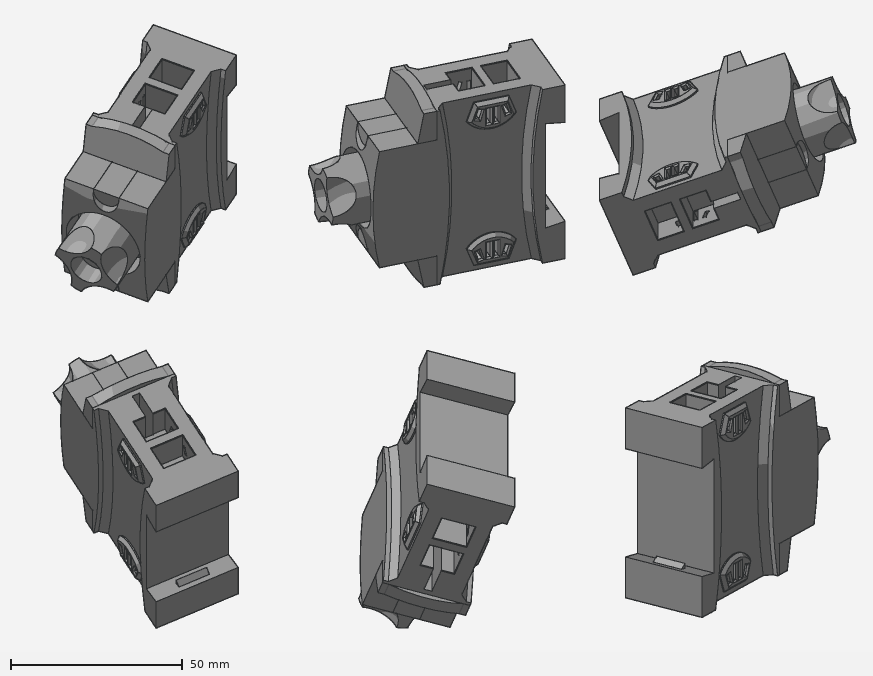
import cadquery as cq
import math


width = 27.0
overall_height = 63.25
half_width = width / 2
bevel_angle = 45.0

half_height = 29.8
cover_back_y = -40.0
block_half_height = 19.95
block_edge_y = -57.9
block_crown_y = -59.9

rail_mouth_half_height = 17.0
rail_floor_half_height = 17.9
rail_floor_y = -6.1

waist_step = 1.5
waist_flank = 2.1
waist_half_width = half_width - waist_step - waist_flank
waist_back_end_y = -7.0
waist_back_middle_y = -10.1
waist_front_end_y = -39.0
waist_front_middle_y = -36.1

pocket_width = 10.2
pocket_length = 7.95
pocket_depth = 9.95
pocket_chamfer = 0.2
pocket_centers_y = (-15.05, -26.0)
test_slot_width = 2.4
test_slot_back_y = -29.8
test_slot_front_y = -38.4

vent_center_y = -21.7
boss_height = 1.5
boss_chamfer = 1.1
boss_top_half_length = 5.5
boss_corner_half_length = 7.75
boss_top_z = 28.0
boss_corner_z = 21.9
boss_crown_z = 17.9
boss_face_x = waist_half_width + boss_height
slot_width = 1.15
slot_bevel = 0.5
middle_slot_length = 5.05
middle_slot_offset = 1.2
middle_slot_z = 23.0
outer_slot_length = 3.1
outer_slot_offset = 4.25
outer_slot_z = 24.15
outer_slot_tilt = 17.0

cover_top_y = -43.7
cover_foot_y = -45.95
cover_crown_z = overall_height / 2
cover_arc_half_width = 11.5
tongue_half_width = 4.1
tongue_bottom_z = 14.9
grip_slope = 1.35

knob_diameter = 20.45
knob_front_y = -71.0
knob_recess_diameter = 24.0
knob_recess_depth = 7.8
knob_base_y = block_crown_y + knob_recess_depth
screw_bore_diameter = 10.0
screw_bore_depth = 6.0
screw_hole_diameter = 6.0
scoop_diameter = 18.0
scoop_center_radius = 15.3
scoop_count = 4
scoop_first_angle = 26.0

latch_width = 10.0
latch_tip_y = -1.85
latch_back_y = -3.6
latch_top_z = -16.0


def forward_cylinder(diameter, start_y, length):
    """Cylinder on the knob axis that runs from start_y toward -Y."""
    return cq.Workplane("XZ", origin=(0, start_y, 0)).circle(diameter / 2).extrude(length)


def both_ends(body):
    """The body for the upper end and its mirror image for the lower end."""
    return [body, body.mirror("XY")]


def housing_blank():
    """Side profile of the housing across the full width, with the rail slot in its back."""
    return (
        cq.Workplane("YZ")
        .moveTo(0, half_height)
        .lineTo(cover_back_y, half_height)
        .lineTo(cover_back_y, block_half_height)
        .lineTo(block_edge_y, block_half_height)
        .threePointArc((block_crown_y, 0), (block_edge_y, -block_half_height))
        .lineTo(cover_back_y, -block_half_height)
        .lineTo(cover_back_y, -half_height)
        .lineTo(0, -half_height)
        .lineTo(0, -rail_mouth_half_height)
        .lineTo(rail_floor_y, -rail_floor_half_height)
        .lineTo(rail_floor_y, rail_floor_half_height)
        .lineTo(0, rail_mouth_half_height)
        .close()
        .extrude(half_width, both=True)
    )


def waist_outline(x, inset):
    """Outline of the waist at one X, its two curved walls moved inward by the inset."""
    back_end = waist_back_end_y - inset
    back_middle = waist_back_middle_y - inset
    front_end = waist_front_end_y + inset
    front_middle = waist_front_middle_y + inset
    return (
        cq.Workplane("YZ", origin=(x, 0, 0))
        .moveTo(back_end, half_height)
        .threePointArc((back_middle, 0), (back_end, -half_height))
        .lineTo(front_end, -half_height)
        .threePointArc((front_middle, 0), (front_end, half_height))
        .close()
    )


def waist_cutter():
    """Tool for the waist on the +X side."""
    step_x = half_width - waist_step
    step = waist_outline(step_x, 0).extrude(waist_step)
    outer_wire = waist_outline(step_x, 0).wire().val()
    inner_wire = waist_outline(waist_half_width, waist_flank).wire().val()
    flanks = cq.Solid.makeLoft([outer_wire, inner_wire], True)
    return step.union(cq.Workplane(flanks))


def vent_boss():
    """Raised, chamfered vent frame on the +X side of the upper end."""
    return (
        cq.Workplane("YZ", origin=(waist_half_width, 0, 0))
        .moveTo(vent_center_y + boss_top_half_length, boss_top_z)
        .lineTo(vent_center_y - boss_top_half_length, boss_top_z)
        .lineTo(vent_center_y - boss_corner_half_length, boss_corner_z)
        .threePointArc(
            (vent_center_y, boss_crown_z),
            (vent_center_y + boss_corner_half_length, boss_corner_z),
        )
        .close()
        .extrude(boss_height)
        .faces(">X")
        .chamfer(boss_chamfer)
    )


def vent_slot_cutter(length, offset_y, z, tilt):
    """Slot through the whole width, bevelled where it opens on each side."""
    through = cq.Workplane("YZ").rect(slot_width, length).extrude(boss_face_x, both=True)
    mouth = (
        cq.Workplane("YZ", origin=(boss_face_x, 0, 0))
        .rect(slot_width + 2 * slot_bevel, length + 2 * slot_bevel)
        .extrude(-slot_bevel, taper=bevel_angle)
    )
    cutter = through.union(mouth).union(mouth.mirror("YZ"))
    return cutter.rotate((0, 0, 0), (1, 0, 0), tilt).translate((0, vent_center_y + offset_y, z))


def vent_slot_cutters():
    """All four slots of the upper vents."""
    cutters = []
    for side in (1, -1):
        cutters.append(
            vent_slot_cutter(middle_slot_length, side * middle_slot_offset, middle_slot_z, 0)
        )
        cutters.append(
            vent_slot_cutter(
                outer_slot_length, side * outer_slot_offset, outer_slot_z, side * outer_slot_tilt
            )
        )
    return cutters


def pocket_cutter(center_y):
    """Terminal pocket in the upper end, with a small chamfer round its mouth."""
    pocket = (
        cq.Workplane("XY", origin=(0, center_y, half_height - pocket_depth))
        .rect(pocket_width, pocket_length)
        .extrude(pocket_depth)
    )
    mouth = (
        cq.Workplane("XY", origin=(0, center_y, half_height))
        .rect(pocket_width + 2 * pocket_chamfer, pocket_length + 2 * pocket_chamfer)
        .extrude(-pocket_chamfer, taper=bevel_angle)
    )
    return pocket.union(mouth)


def test_slot_cutter():
    """Narrow slot through the full height that opens into the front pockets."""
    length = test_slot_back_y - test_slot_front_y
    center_y = (test_slot_back_y + test_slot_front_y) / 2
    outline = cq.Workplane("XY").center(0, center_y).rect(test_slot_width, length)
    return outline.extrude(half_height, both=True)


def tongue_outline(y):
    """U-shaped section of the cover tongue."""
    arc_center_z = tongue_bottom_z + tongue_half_width
    return (
        cq.Workplane("XZ", origin=(0, y, 0))
        .moveTo(-tongue_half_width, block_half_height)
        .lineTo(-tongue_half_width, arc_center_z)
        .threePointArc((0, tongue_bottom_z), (tongue_half_width, arc_center_z))
        .lineTo(tongue_half_width, block_half_height)
        .close()
    )


def tongue():
    return tongue_outline(cover_back_y).extrude(cover_back_y - block_edge_y)


def grip_cutter():
    """Finger relief ahead of the tongue: its section swept forward and inward."""
    reach = block_edge_y - block_crown_y
    sweep = cq.Vector(0, -reach, -reach * grip_slope)
    section = tongue_outline(block_edge_y).wire().val()
    return cq.Workplane(cq.Solid.extrudeLinear(section, [], sweep))


def build_housing():
    body = housing_blank()
    waist = waist_cutter()
    body = body.cut(waist).cut(waist.mirror("YZ"))
    for boss in both_ends(vent_boss()):
        body = body.union(boss).union(boss.mirror("YZ"))
    end_cutters = [tongue(), grip_cutter()]
    end_cutters += [pocket_cutter(y) for y in pocket_centers_y]
    end_cutters += vent_slot_cutters()
    for cutter in end_cutters:
        for copy in both_ends(cutter):
            body = body.cut(copy)
    body = body.cut(test_slot_cutter())
    return body.cut(forward_cylinder(knob_recess_diameter, knob_base_y, knob_recess_depth))


def build_cover():
    """Upper terminal cover: a wedge with a crowned top, and its tongue."""
    wedge = (
        cq.Workplane("YZ")
        .moveTo(cover_back_y, block_half_height)
        .lineTo(cover_back_y, cover_crown_z)
        .lineTo(cover_top_y, cover_crown_z)
        .lineTo(cover_foot_y, block_half_height)
        .close()
        .extrude(half_width, both=True)
    )
    crown = (
        cq.Workplane("XZ", origin=(0, cover_back_y, 0))
        .moveTo(-half_width, block_half_height)
        .lineTo(-half_width, half_height)
        .lineTo(-cover_arc_half_width, half_height)
        .threePointArc((0, cover_crown_z), (cover_arc_half_width, half_height))
        .lineTo(half_width, half_height)
        .lineTo(half_width, block_half_height)
        .close()
        .extrude(cover_back_y - cover_foot_y)
    )
    return wedge.intersect(crown).union(tongue())


def build_knob():
    knob_length = knob_base_y - knob_front_y
    bore_floor_y = knob_front_y + screw_bore_depth
    knob = forward_cylinder(knob_diameter, knob_base_y, knob_length)
    knob = knob.cut(forward_cylinder(screw_bore_diameter, bore_floor_y, screw_bore_depth))
    knob = knob.cut(forward_cylinder(screw_hole_diameter, knob_base_y, knob_length))
    for index in range(scoop_count):
        angle = math.radians(scoop_first_angle + index * 360 / scoop_count)
        scoop_x = scoop_center_radius * math.cos(angle)
        scoop_z = scoop_center_radius * math.sin(angle)
        scoop = cq.Workplane("XY").sphere(scoop_diameter / 2)
        knob = knob.cut(scoop.translate((scoop_x, knob_front_y, scoop_z)))
    return knob


def rail_slot_side_z(y):
    """Z of the lower sloping side of the rail slot at one Y."""
    slope = (rail_floor_half_height - rail_mouth_half_height) / rail_floor_y
    return -rail_mouth_half_height - slope * y


def build_latch():
    """Wedge-shaped tooth that stands on the lower side of the rail slot."""
    return (
        cq.Workplane("YZ")
        .moveTo(latch_tip_y, rail_slot_side_z(latch_tip_y))
        .lineTo(latch_back_y, rail_slot_side_z(latch_back_y))
        .lineTo(latch_back_y, latch_top_z)
        .close()
        .extrude(latch_width / 2, both=True)
    )


housing = build_housing()
covers = both_ends(build_cover())
knob = build_knob()
latch = build_latch()

result = cq.Compound.makeCompound(
    [housing.val(), *[cover.val() for cover in covers], knob.val(), latch.val()]
)